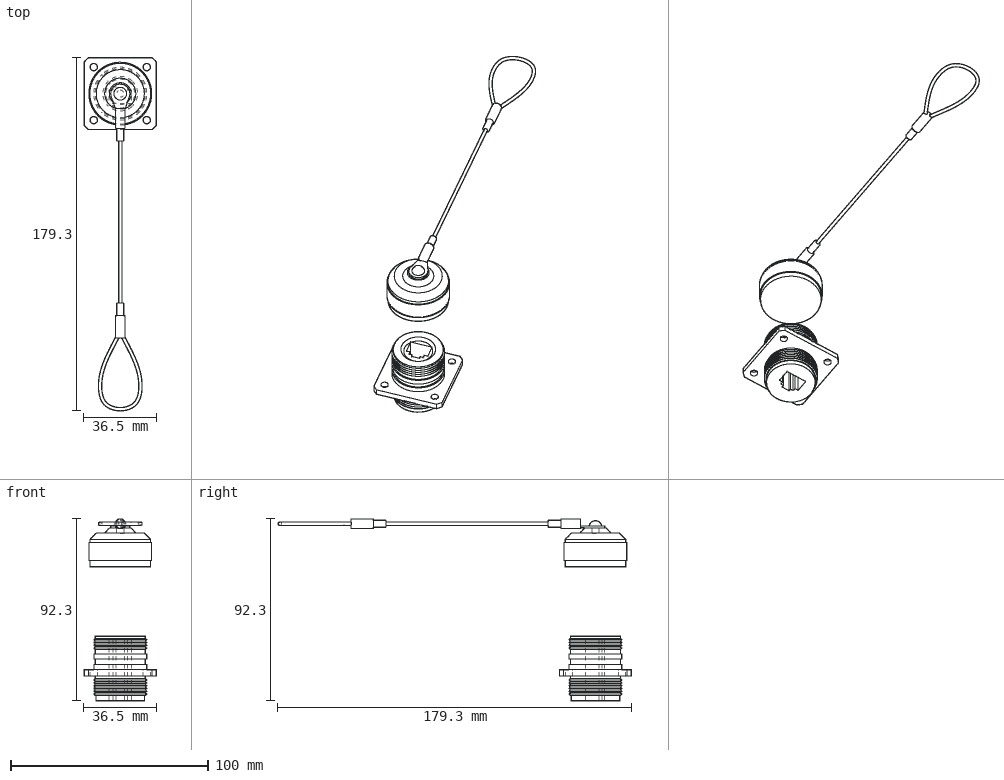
import cadquery as cq
import math

FLANGE_SIDE = 36.5
FLANGE_THICKNESS = 3.2
FLANGE_BOTTOM_Z = 12.5
FLANGE_CORNER_RADIUS = 24.4
MOUNTING_HOLE_SPACING = 26.9
MOUNTING_HOLE_DIAMETER = 3.5

BARREL_RADIUS = 13.5
NECK_RADIUS = 12.7
TAIL_RADIUS = 12.4
TAIL_HEIGHT = 2.7
THREAD_PITCH = 1.5
LOWER_THREAD_TURNS = 6
UPPER_THREAD_TURNS = 4
BAND_HEIGHT = 2.7
UPPER_THREAD_BOTTOM_Z = 26.0
BARREL_TOP_Z = 32.8

MOUTH_RADIUS = 8.8
MOUTH_FLOOR_RADIUS = 7.3
MOUTH_DEPTH = 1.5
SOCKET_HALF_WIDTH = 5.7
SOCKET_FRONT_Y = -5.0
SOCKET_BACK_Y = 1.8
WIDE_KEY_HALF_WIDTH = 3.8
WIDE_KEY_BACK_Y = 3.4
NARROW_KEY_HALF_WIDTH = 2.2
NARROW_KEY_BACK_Y = 4.7

CAP_BOTTOM_Z = 68.0
CAP_GRIP_RADIUS = 16.0
CAP_RIM_RADIUS = 15.5
CAP_GRIP_BOTTOM_Z = 71.2
CAP_GRIP_TOP_Z = 80.3
CAP_CONE_BOTTOM_Z = 82.0
CAP_SHOULDER_Z = 85.1
CAP_SHOULDER_RADIUS = 12.2
HUB_BASE_RADIUS = 7.9
HUB_TOP_RADIUS = 5.5
HUB_TOP_Z = 87.7

RIVET_HEAD_RADIUS = 3.2
RIVET_HEAD_HEIGHT = 2.7
RIVET_SHANK_RADIUS = 1.8
RIVET_SHANK_IN_CAP = 2.7

EYE_RADIUS = 4.8
EYE_THICKNESS = 1.0
FERRULE_RADIUS = 2.5
FERRULE_NECK_RADIUS = 1.8
FERRULE_EDGE_RADIUS = 0.4
FERRULE_NECK_LENGTH = 6.5
EYE_FERRULE_START = 7.5
EYE_FERRULE_LENGTH = 10.0
LOOP_FERRULE_START = 112.5
LOOP_FERRULE_LENGTH = 11.5
CABLE_RADIUS = 0.9
LANYARD_REACH = 161.0
LOOP_STRAND_OFFSET = 1.3
LOOP_SHOULDER_HALF_WIDTH = 6.3
LOOP_SHOULDER_REACH = 133.0
LOOP_HALF_WIDTH = 10.2
LOOP_WIDEST_REACH = 149.1
LOOP_BEND_HALF_WIDTH = 7.9
LOOP_BEND_REACH = 156.9

CABLE_Z = 89.8
EYE_TOP_Z = HUB_TOP_Z + EYE_THICKNESS


def thread_crests(bottom_z, turns):
    """Profile points of V-shaped rings, each rising from a root to a crest and back to a root."""
    points = []
    for turn in range(turns):
        root_z = bottom_z + turn * THREAD_PITCH
        points.append((BARREL_RADIUS, root_z + THREAD_PITCH / 2))
        points.append((NECK_RADIUS, root_z + THREAD_PITCH))
    return points


def make_barrel():
    flange_top_z = FLANGE_BOTTOM_Z + FLANGE_THICKNESS
    groove_bottom_z = flange_top_z + BAND_HEIGHT
    groove_top_z = groove_bottom_z + BAND_HEIGHT
    upper_band_top_z = groove_top_z + BAND_HEIGHT
    profile = [
        (0, 0),
        (TAIL_RADIUS, 0),
        (TAIL_RADIUS, TAIL_HEIGHT),
        (NECK_RADIUS, TAIL_HEIGHT),
        *thread_crests(TAIL_HEIGHT, LOWER_THREAD_TURNS),
        (NECK_RADIUS, flange_top_z),
        (BARREL_RADIUS, flange_top_z),
        (BARREL_RADIUS, groove_bottom_z),
        (NECK_RADIUS, groove_bottom_z),
        (NECK_RADIUS, groove_top_z),
        (BARREL_RADIUS, groove_top_z),
        (BARREL_RADIUS, upper_band_top_z),
        (NECK_RADIUS, upper_band_top_z),
        (NECK_RADIUS, UPPER_THREAD_BOTTOM_Z),
        *thread_crests(UPPER_THREAD_BOTTOM_Z, UPPER_THREAD_TURNS),
        (NECK_RADIUS, BARREL_TOP_Z),
        (0, BARREL_TOP_Z),
    ]
    return cq.Workplane("XZ").polyline(profile).close().revolve(360, (0, 0, 0), (0, 1, 0))


def make_flange():
    flange_base = cq.Workplane("XY", origin=(0, 0, FLANGE_BOTTOM_Z))
    corner_trim = flange_base.circle(FLANGE_CORNER_RADIUS).extrude(FLANGE_THICKNESS)
    return (
        flange_base
        .rect(FLANGE_SIDE, FLANGE_SIDE)
        .extrude(FLANGE_THICKNESS)
        .intersect(corner_trim)
        .faces(">Z")
        .workplane(origin=(0, 0))
        .rect(MOUNTING_HOLE_SPACING, MOUNTING_HOLE_SPACING, forConstruction=True)
        .vertices()
        .hole(MOUNTING_HOLE_DIAMETER)
    )


def make_socket_cutter():
    mouth = (
        cq.Workplane("XY", origin=(0, 0, BARREL_TOP_Z))
        .circle(MOUTH_RADIUS)
        .workplane(offset=-MOUTH_DEPTH)
        .circle(MOUTH_FLOOR_RADIUS)
        .loft(ruled=True)
    )
    right_half = [
        (SOCKET_HALF_WIDTH, SOCKET_FRONT_Y),
        (SOCKET_HALF_WIDTH, SOCKET_BACK_Y),
        (WIDE_KEY_HALF_WIDTH, SOCKET_BACK_Y),
        (WIDE_KEY_HALF_WIDTH, WIDE_KEY_BACK_Y),
        (NARROW_KEY_HALF_WIDTH, WIDE_KEY_BACK_Y),
        (NARROW_KEY_HALF_WIDTH, NARROW_KEY_BACK_Y),
    ]
    left_half = [(-x, y) for x, y in reversed(right_half)]
    keyed_slot = cq.Workplane("XY").polyline(right_half + left_half).close().extrude(BARREL_TOP_Z)
    return mouth.union(keyed_slot)


def make_receptacle():
    return make_barrel().union(make_flange()).cut(make_socket_cutter())


def make_rivet():
    shank_bottom_z = HUB_TOP_Z - RIVET_SHANK_IN_CAP
    head_top_z = EYE_TOP_Z + RIVET_HEAD_HEIGHT
    dome_radius = (RIVET_HEAD_RADIUS**2 + RIVET_HEAD_HEIGHT**2) / (2 * RIVET_HEAD_HEIGHT)
    mid_angle = math.asin(RIVET_HEAD_RADIUS / dome_radius) / 2
    dome_middle = (
        dome_radius * math.sin(mid_angle),
        head_top_z - dome_radius * (1 - math.cos(mid_angle)),
    )
    return (
        cq.Workplane("XZ")
        .moveTo(0, shank_bottom_z)
        .lineTo(RIVET_SHANK_RADIUS, shank_bottom_z)
        .lineTo(RIVET_SHANK_RADIUS, EYE_TOP_Z)
        .lineTo(RIVET_HEAD_RADIUS, EYE_TOP_Z)
        .threePointArc(dome_middle, (0, head_top_z))
        .close()
        .revolve(360, (0, 0, 0), (0, 1, 0))
    )


def make_cap(rivet):
    profile = [
        (0, CAP_BOTTOM_Z),
        (CAP_RIM_RADIUS, CAP_BOTTOM_Z),
        (CAP_RIM_RADIUS, CAP_GRIP_BOTTOM_Z),
        (CAP_GRIP_RADIUS, CAP_GRIP_BOTTOM_Z),
        (CAP_GRIP_RADIUS, CAP_GRIP_TOP_Z),
        (CAP_RIM_RADIUS, CAP_GRIP_TOP_Z),
        (CAP_RIM_RADIUS, CAP_CONE_BOTTOM_Z),
        (CAP_SHOULDER_RADIUS, CAP_SHOULDER_Z),
        (HUB_BASE_RADIUS, CAP_SHOULDER_Z),
        (HUB_TOP_RADIUS, HUB_TOP_Z),
        (0, HUB_TOP_Z),
    ]
    body = cq.Workplane("XZ").polyline(profile).close().revolve(360, (0, 0, 0), (0, 1, 0))
    return body.cut(rivet)


def make_eye_plate(rivet):
    """Flat eye under the rivet head, its sides running tangentially down to the ferrule width."""
    corner_distance = math.hypot(FERRULE_RADIUS, EYE_FERRULE_START)
    corner_angle = math.atan2(-EYE_FERRULE_START, FERRULE_RADIUS)
    tangent_angle = corner_angle + math.acos(EYE_RADIUS / corner_distance)
    tangent_x = EYE_RADIUS * math.cos(tangent_angle)
    tangent_y = EYE_RADIUS * math.sin(tangent_angle)
    plate = (
        cq.Workplane("XY", origin=(0, 0, HUB_TOP_Z))
        .moveTo(tangent_x, tangent_y)
        .threePointArc((0, EYE_RADIUS), (-tangent_x, tangent_y))
        .lineTo(-FERRULE_RADIUS, -EYE_FERRULE_START)
        .lineTo(FERRULE_RADIUS, -EYE_FERRULE_START)
        .close()
        .extrude(EYE_THICKNESS)
    )
    return plate.cut(rivet)


def rod(radius, start, length):
    """Round bar along -Y on the cable axis, from a distance to the cap axis."""
    return cq.Workplane("XZ", origin=(0, -start, CABLE_Z)).circle(radius).extrude(length)


def make_ferrule(body_start, body_length, neck_end):
    """Stepped sleeve with rounded ends; the neck reaches from inside the body to its free end."""
    body = rod(FERRULE_RADIUS, body_start, body_length).edges().fillet(FERRULE_EDGE_RADIUS)
    body_middle = body_start + body_length / 2
    neck_length = abs(neck_end - body_middle)
    neck = rod(FERRULE_NECK_RADIUS, min(neck_end, body_middle), neck_length)
    return body.union(neck.edges().fillet(FERRULE_EDGE_RADIUS))


def make_loop(strand_start):
    """Teardrop loop, swept along one smooth curve that leaves and re-enters the ferrule."""
    end_y = -(LANYARD_REACH - CABLE_RADIUS)
    left_half = [
        (-LOOP_STRAND_OFFSET, -strand_start),
        (-LOOP_SHOULDER_HALF_WIDTH, -LOOP_SHOULDER_REACH),
        (-LOOP_HALF_WIDTH, -LOOP_WIDEST_REACH),
        (-LOOP_BEND_HALF_WIDTH, -LOOP_BEND_REACH),
    ]
    right_half = [(-x, y) for x, y in reversed(left_half)]
    path = cq.Workplane("XY", origin=(0, 0, CABLE_Z)).spline(left_half + [(0, end_y)] + right_half)
    start_plane = cq.Plane(
        origin=path.val().startPoint(), xDir=(0, 0, 1), normal=path.val().tangentAt(0)
    )
    return cq.Workplane(start_plane).circle(CABLE_RADIUS).sweep(path)


def make_lanyard(rivet):
    eye_ferrule_end = EYE_FERRULE_START + EYE_FERRULE_LENGTH
    loop_ferrule_end = LOOP_FERRULE_START + LOOP_FERRULE_LENGTH
    eye_ferrule = make_ferrule(
        EYE_FERRULE_START, EYE_FERRULE_LENGTH, eye_ferrule_end + FERRULE_NECK_LENGTH
    )
    loop_ferrule = make_ferrule(
        LOOP_FERRULE_START, LOOP_FERRULE_LENGTH, LOOP_FERRULE_START - FERRULE_NECK_LENGTH
    )
    cable = rod(CABLE_RADIUS, eye_ferrule_end, LOOP_FERRULE_START - eye_ferrule_end)
    strand_start = loop_ferrule_end - CABLE_RADIUS
    return (
        make_eye_plate(rivet)
        .union(eye_ferrule)
        .union(cable)
        .union(loop_ferrule)
        .union(make_loop(strand_start))
    )


receptacle = make_receptacle()
rivet = make_rivet()
cap = make_cap(rivet)
lanyard = make_lanyard(rivet)

result = cq.Compound.makeCompound([body.solids().val() for body in (receptacle, cap, rivet, lanyard)])